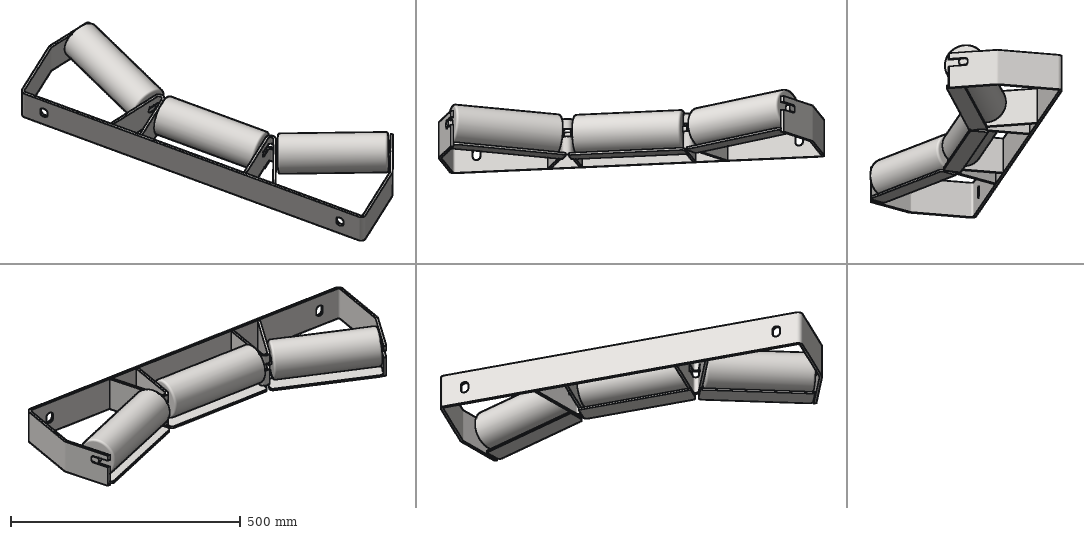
import cadquery as cq
import math


frame_length = 830.0
strip_height = 80.0
sheet = 6.0
inner_bend_radius = 5.0
outer_bend_radius = inner_bend_radius + sheet
strip_bottom = -strip_height / 2

frame_depth = 244.0
mount_slot_x = 358.0
mount_slot_width = 17.5
mount_slot_height = 26.5

bracket_depth = 127.0

roller_diameter = 89.0
roller_length = 240.0
roller_edge_radius = 5.0
axle_diameter = 20.0
axle_flats = 14.0
axle_shoulder_gap = 1.0
axle_slot_width = 17.5
axle_z = 9.0

middle_half_span = 123.0
middle_y = 100.0
side_half_span = 124.5
side_x = 265.0
side_y = 160.0
trough_angle = 25.0
tilt_angle = 2.0
side_z = axle_z + side_half_span * math.sin(math.radians(tilt_angle))

guard_thickness = 5.0
guard_width = 40.0
guard_corner_radius = 8.0
guard_top_drop = axle_z - strip_bottom
guard_end_gap = 2.5

trough_sin = math.sin(math.radians(trough_angle))
trough_cos = math.cos(math.radians(trough_angle))
trough_tan = trough_sin / trough_cos

frame_end_reach = side_half_span + sheet
side_wall_depth = side_y - ((frame_length / 2 - side_x) * trough_cos - frame_end_reach) / trough_sin


def mirrored(body):
    return body.mirror("YZ")


def at_left_station(body):
    """Moves a body from the origin, axle along X, to the left roller with +X pointing inwards."""
    tilted = body.rotate((0, 0, 0), (0, 1, 0), tilt_angle)
    swung = tilted.rotate((0, 0, 0), (0, 0, 1), -trough_angle)
    return swung.translate((-side_x, side_y, side_z))


def at_middle_station(body):
    return body.translate((0, middle_y, axle_z))


def bent_ring(corners):
    """Closed band of sheet whose outer face follows the corners."""
    outline = cq.Workplane("XY").workplane(offset=strip_bottom).polyline(corners).close()
    block = outline.extrude(strip_height)
    block = block.edges("|Z").fillet(outer_bend_radius)
    core = block.faces(">Z").wires().toPending().offset2D(-sheet).extrude(-strip_height, combine=False)
    return block.cut(core)


def y_range_block(y_start, y_end):
    block = cq.Workplane("XY").box(2 * frame_length, y_end - y_start, 2 * strip_height)
    return block.translate((0, (y_start + y_end) / 2, 0))


def cylinder_along_x(diameter, length):
    return cq.Workplane("YZ").workplane(offset=-length / 2).circle(diameter / 2).extrude(length)


def z_range_block(height):
    return cq.Workplane("XY").box(2 * frame_length, 2 * frame_length, height)


def axle(half_span):
    """Round between the sheets, with flats above and below where the ends pass through them."""
    middle = cylinder_along_x(axle_diameter, 2 * (half_span - axle_shoulder_gap))
    flatted = cylinder_along_x(axle_diameter, 2 * (half_span + sheet)).intersect(z_range_block(axle_flats))
    return middle.union(flatted)


def axle_slot(half_span):
    """Cutter with a round seat for the axle ends, open towards +Y."""
    length = 2 * (half_span + 2 * sheet)
    mouth = cq.Workplane("XY").box(length, frame_depth, axle_diameter, centered=(True, False, True))
    return cylinder_along_x(axle_diameter, length).union(mouth).intersect(z_range_block(axle_slot_width))


side_slot = at_left_station(axle_slot(side_half_span))
middle_slot = at_middle_station(axle_slot(middle_half_span))


def make_frame():
    """Base, side walls and inward-leaning ends, open between the tips."""
    half = frame_length / 2
    closing_depth = frame_depth + 2 * outer_bend_radius
    closing_half = half - (closing_depth - side_wall_depth) * trough_tan
    right_corners = [(half, 0), (half, side_wall_depth), (closing_half, closing_depth)]
    left_corners = [(-x, y) for x, y in reversed(right_corners)]
    body = bent_ring(right_corners + left_corners).intersect(y_range_block(0, frame_depth))
    mount_slots = (
        cq.Workplane("XZ").pushPoints([(-mount_slot_x, 0), (mount_slot_x, 0)])
        .slot2D(mount_slot_height, mount_slot_width, 90).extrude(sheet, both=True)
    )
    return body.cut(mount_slots).cut(side_slot).cut(mirrored(side_slot))


def make_left_bracket():
    """Slanted leg square to the side roller, bridge, and upright leg beside the middle roller."""
    face_x = side_half_span * trough_cos - side_x
    face_y = side_y - side_half_span * trough_sin

    def slanted_leg_x(y):
        return face_x + (y - face_y) * trough_tan

    closing_depth = -2 * outer_bend_radius
    corners = [
        (slanted_leg_x(closing_depth), closing_depth),
        (-middle_half_span, closing_depth),
        (-middle_half_span, bracket_depth),
        (slanted_leg_x(bracket_depth), bracket_depth),
    ]
    body = bent_ring(corners).intersect(y_range_block(sheet, bracket_depth))
    return body.cut(side_slot).cut(middle_slot)


def make_roller(half_span):
    """Roller with its axle along X, the axle ends flush with the outer faces of the sheets."""
    drum = cylinder_along_x(roller_diameter, roller_length)
    drum = drum.faces("<X or >X").edges().fillet(roller_edge_radius)
    return drum.union(axle(half_span))


def make_guard(x_start, x_end):
    """Flat strip below the rear half of a roller, with rounded rear corners."""
    return (
        cq.Workplane("XY")
        .box(x_end - x_start, guard_width, guard_thickness, centered=False)
        .edges("|Z and >Y").fillet(guard_corner_radius)
        .translate((x_start, 0, -guard_top_drop - guard_thickness))
    )


frame = make_frame()
left_bracket = make_left_bracket()
brackets = [left_bracket, mirrored(left_bracket)]

middle_guard_half = middle_half_span + sheet
left_roller = at_left_station(make_roller(side_half_span))
left_guard = at_left_station(make_guard(guard_end_gap - side_half_span, side_half_span + sheet))
rollers = [left_roller, at_middle_station(make_roller(middle_half_span)), mirrored(left_roller)]
guards = [
    left_guard,
    at_middle_station(make_guard(-middle_guard_half, middle_guard_half)),
    mirrored(left_guard),
]

result = cq.Compound.makeCompound([frame.val()] + [body.val() for body in brackets + rollers + guards])